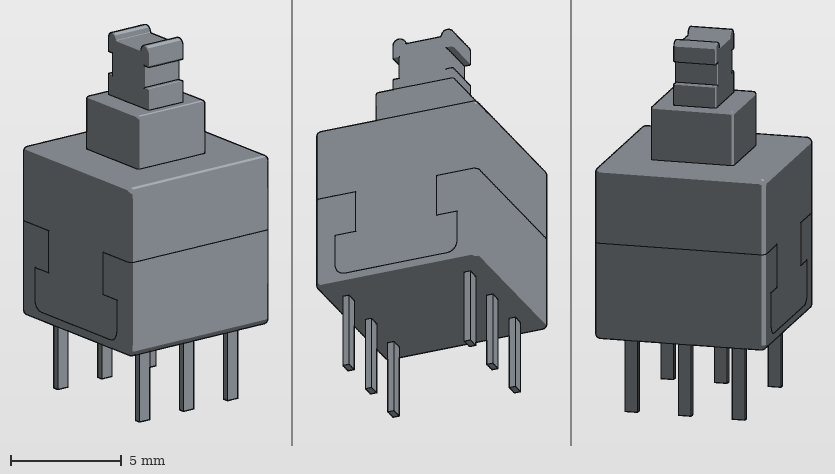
import cadquery as cq

pin_length = 3.5
pin_thickness = 0.3
pin_width = 0.6
pin_row_x = 3.0
pin_pitch = 2.52

housing_side = 8.0
housing_fillet = 0.25
housing_bottom = pin_length
housing_top = housing_bottom + housing_side

base_height = 4.5
split_z = housing_bottom + base_height
tongue_neck_width = 4.0
tongue_neck_height = 2.0
tongue_head_width = 6.0
tongue_head_top = split_z - tongue_neck_height
tongue_corner_radius = 0.5
base_rim_height = 0.5
tongue_bottom = housing_bottom + base_rim_height

collar_side = 3.9
collar_height = 2.5
collar_fillet = 0.15
collar_top = housing_top + collar_height

overall_height = 17.0
tip_width = 3.0
tip_depth = 2.0
tip_edge_fillet = 0.07
waist_width = 2.4
waist_height = 1.0
foot_height = 1.0
waist_bottom = collar_top + foot_height
waist_top = waist_bottom + waist_height
lip_radius = 0.3


def make_housing_block():
    """The whole rounded cube, before it is divided."""
    block = cq.Workplane("XY").workplane(offset=housing_bottom).box(
        housing_side, housing_side, housing_side, centered=(True, True, False))
    return block.edges().fillet(housing_fillet)


def make_cover_region():
    """Everything above the split plane, plus a T-shaped tongue with rounded lower corners."""
    upper = cq.Workplane("XY").workplane(offset=split_z).box(
        housing_side, housing_side, housing_top - split_z, centered=(True, True, False))
    neck = cq.Workplane("XY").workplane(offset=tongue_head_top).box(
        tongue_neck_width, housing_side, tongue_neck_height, centered=(True, True, False))
    head = cq.Workplane("XY").workplane(offset=tongue_bottom).box(
        tongue_head_width, housing_side, tongue_head_top - tongue_bottom, centered=(True, True, False))
    head = head.edges("|Y and <Z").fillet(tongue_corner_radius)
    return upper.union(neck).union(head)


def make_collar():
    """Square block under the tip, rounded on its upright and top edges."""
    collar = cq.Workplane("XY").workplane(offset=housing_top).box(
        collar_side, collar_side, collar_height, centered=(True, True, False))
    return collar.edges("|Z or >Z").fillet(collar_fillet)


def make_tip():
    """Waisted tip whose flat top lies between two half-round lips."""
    half_width = tip_width / 2
    half_waist = waist_width / 2
    top_z = overall_height - lip_radius
    lip_center_x = half_width - lip_radius
    dip_x = lip_center_x - lip_radius
    profile = (
        cq.Workplane("XZ", origin=(0, tip_depth / 2, 0))
        .moveTo(-half_width, collar_top)
        .lineTo(half_width, collar_top)
        .lineTo(half_width, waist_bottom)
        .lineTo(half_waist, waist_bottom)
        .lineTo(half_waist, waist_top)
        .lineTo(half_width, waist_top)
        .lineTo(half_width, top_z)
        .threePointArc((lip_center_x, overall_height), (dip_x, top_z))
        .lineTo(-dip_x, top_z)
        .threePointArc((-lip_center_x, overall_height), (-half_width, top_z))
        .lineTo(-half_width, waist_top)
        .lineTo(-half_waist, waist_top)
        .lineTo(-half_waist, waist_bottom)
        .lineTo(-half_width, waist_bottom)
        .close()
    )
    tip = profile.extrude(tip_depth)
    for side in (-1, 1):
        for edge_x, edge_z in ((half_width, waist_bottom), (half_width, waist_top), (dip_x, top_z)):
            long_edge = cq.selectors.NearestToPointSelector((side * edge_x, 0, edge_z))
            tip = tip.edges("|Y").edges(long_edge).fillet(tip_edge_fillet)
    return tip.faces("<Y or >Y").edges("not <Z").fillet(tip_edge_fillet)


def make_pin(x, y):
    """One flat blade hanging from the underside of the base."""
    return cq.Workplane("XY").center(x, y).box(
        pin_thickness, pin_width, pin_length, centered=(True, True, False))


housing_block = make_housing_block()
cover_region = make_cover_region()
cover = housing_block.intersect(cover_region).union(make_collar()).union(make_tip())
base = housing_block.cut(cover_region)
pins = [
    make_pin(side * pin_row_x, row * pin_pitch)
    for side in (-1, 1)
    for row in (-1, 0, 1)
]

result = cq.Compound.makeCompound([cover.val(), base.val(), *[pin.val() for pin in pins]])